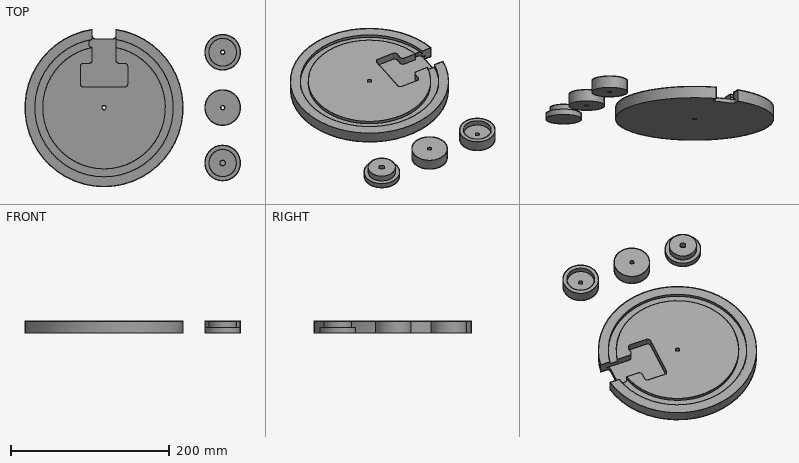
import cadquery as cq

height = 15.0
shaft_hole_diameter = 5.0

base_diameter = 200.0
groove_outer_diameter = 175.0
groove_inner_diameter = 155.0
groove_depth = 4.0

pocket_floor = 5.0
pocket_length = 60.0
pocket_width = 30.0
pocket_near_y = 26.0
pocket_far_y = pocket_near_y + pocket_width
neck_width = 30.0
corner_radius = 4.0
rim_gap_near_y = 87.0

relief_depth = 4.3
relief_near_y = 76.3
relief_far_y = 86.0
relief_radius = 4.0

wheel_diameter = 45.0
wheel_x = 150.0
wheel_spacing = 70.0
recess_diameter = 35.0
recess_depth = 7.0
lid_flange_thickness = 7.0
lid_boss_diameter = 34.5
lid_hole_diameter = 7.0
lid_hole_depth = 8.0


def block(x_min, x_max, y_min, y_max, z_min):
    """Cutting block that runs from z_min up to the top face."""
    return (
        cq.Workplane("XY", origin=(0, 0, z_min))
        .moveTo(x_min, y_min)
        .lineTo(x_max, y_min)
        .lineTo(x_max, y_max)
        .lineTo(x_min, y_max)
        .close()
        .extrude(height - z_min)
    )


def make_pocket():
    """T-shaped pocket, open to the rim through its neck."""
    half_neck = neck_width / 2
    half_length = pocket_length / 2
    rim_y = base_diameter / 2
    head = block(-half_length, half_length, pocket_near_y, pocket_far_y, pocket_floor)
    neck = block(-half_neck, half_neck, pocket_far_y, rim_y, pocket_floor)
    corner_zone = cq.selectors.BoxSelector(
        (-pocket_length, 0, 0),
        (pocket_length, rim_gap_near_y, height),
    )
    tee = head.union(neck).edges("|Z").edges(corner_zone).fillet(corner_radius)
    relief = (
        block(-half_neck - relief_depth, 0, relief_near_y, relief_far_y, pocket_floor)
        .edges("|Z and <X")
        .fillet(relief_radius)
    )
    return tee.union(relief)


def make_rim_gap():
    """Full-height gap in the rim at the end of the neck."""
    half_neck = neck_width / 2
    gap = block(-half_neck, half_neck, rim_gap_near_y, base_diameter / 2, 0)
    return gap.edges("|Z and <Y").fillet(corner_radius)


def make_base():
    disc = (
        cq.Workplane("XY")
        .circle(base_diameter / 2)
        .circle(shaft_hole_diameter / 2)
        .extrude(height)
    )
    groove = (
        cq.Workplane("XY", origin=(0, 0, height - groove_depth))
        .circle(groove_outer_diameter / 2)
        .circle(groove_inner_diameter / 2)
        .extrude(groove_depth)
    )
    return disc.cut(groove).cut(make_pocket()).cut(make_rim_gap())


def make_plain_wheel(y):
    """Solid wheel with a through shaft hole."""
    return (
        cq.Workplane("XY", origin=(wheel_x, y, 0))
        .circle(wheel_diameter / 2)
        .circle(shaft_hole_diameter / 2)
        .extrude(height)
    )


def make_cup_wheel(y):
    """Wheel with a round recess in its top face."""
    recess = (
        cq.Workplane("XY", origin=(wheel_x, y, height - recess_depth))
        .circle(recess_diameter / 2)
        .extrude(recess_depth)
    )
    return make_plain_wheel(y).cut(recess)


def make_lid(y):
    """Flanged lid whose boss fits the cup recess, with a blind hole."""
    return (
        cq.Workplane("XY", origin=(wheel_x, y, 0))
        .circle(wheel_diameter / 2)
        .extrude(lid_flange_thickness)
        .faces(">Z")
        .workplane()
        .circle(lid_boss_diameter / 2)
        .extrude(height - lid_flange_thickness)
        .faces(">Z")
        .workplane()
        .hole(lid_hole_diameter, lid_hole_depth)
    )


base = make_base()
cup_wheel = make_cup_wheel(wheel_spacing)
plain_wheel = make_plain_wheel(0)
lid = make_lid(-wheel_spacing)

result = cq.Compound.makeCompound([base.val(), cup_wheel.val(), plain_wheel.val(), lid.val()])